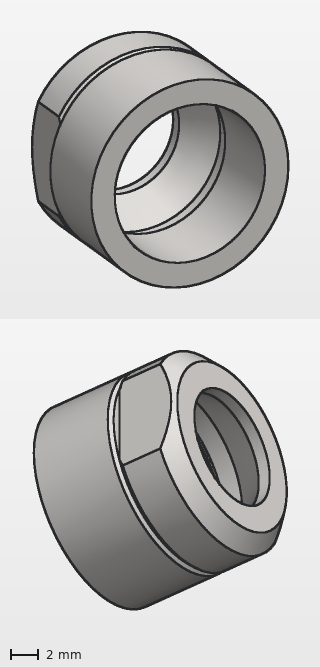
import cadquery as cq

length = 12.0
outer_radius = 16.0 / 2

nose_chamfer = 1.31
groove_x = 5.0
groove_chamfer = 0.3
flat_distance = 14.0

mouth_radius = 9.2 / 2
relief_radius = 13.0 / 2
thread_radius = 12.2 / 2
mouth_end = 1.0
taper_end = 3.89
relief_end = 5.5


def revolve_about_x(points):
    """Turn a closed (x, radius) outline around the X axis."""
    return cq.Workplane("XY").polyline(points).close().revolve(360, (0, 0, 0), (1, 0, 0))


def front_collar():
    """Chamfered wrench collar with two flats facing -Y and +Y."""
    collar = revolve_about_x([
        (0, 0),
        (0, outer_radius - nose_chamfer),
        (nose_chamfer, outer_radius),
        (groove_x - groove_chamfer, outer_radius),
        (groove_x, outer_radius - groove_chamfer),
        (groove_x, 0),
    ])
    flats = cq.Workplane("XY").box(
        groove_x, flat_distance, 2 * outer_radius, centered=(False, True, True)
    )
    return collar.intersect(flats)


def rear_collar():
    """Plain round collar, chamfered where it meets the groove."""
    return revolve_about_x([
        (groove_x, 0),
        (groove_x, outer_radius - groove_chamfer),
        (groove_x + groove_chamfer, outer_radius),
        (length, outer_radius),
        (length, 0),
    ])


def bore():
    """Mouth, widening taper, relief and the smooth thread bore behind it."""
    return revolve_about_x([
        (0, 0),
        (0, mouth_radius),
        (mouth_end, mouth_radius),
        (taper_end, relief_radius),
        (relief_end, relief_radius),
        (relief_end, thread_radius),
        (length, thread_radius),
        (length, 0),
    ])


result = front_collar().union(rear_collar()).cut(bore())